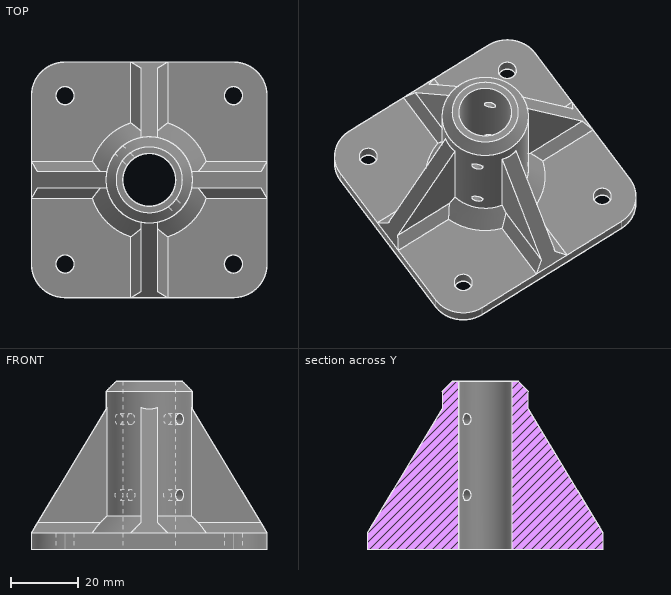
import cadquery as cq

plate_side = 70.0
plate_thickness = 5.0
corner_radius = 10.0
mount_hole_diameter = 5.3
mount_hole_spacing = 50.0

total_height = 50.0
tube_diameter = 25.6
bore_diameter = 15.6
rim_chamfer = 3.0
collar_size = 5.0

rib_width = 5.0
rib_top_height = 41.7
foot_chamfer = 3.0

pin_hole_diameter = 3.3
pin_hole_heights = (16.2, 38.7)
pin_hole_direction = (1, -1, 0)

plate_half = plate_side / 2
tube_radius = tube_diameter / 2


def make_plate():
    plate = cq.Workplane("XY").box(
        plate_side, plate_side, plate_thickness, centered=(True, True, False)
    )
    return (
        plate.edges("|Z")
        .fillet(corner_radius)
        .faces(">Z")
        .workplane()
        .rect(mount_hole_spacing, mount_hole_spacing, forConstruction=True)
        .vertices()
        .hole(mount_hole_diameter)
    )


def make_tube():
    """Solid post with a conical collar on the plate and a chamfered rim."""
    profile = [
        (0, 0),
        (tube_radius + collar_size, 0),
        (tube_radius + collar_size, plate_thickness),
        (tube_radius, plate_thickness + collar_size),
        (tube_radius, total_height - rim_chamfer),
        (tube_radius - rim_chamfer, total_height),
        (0, total_height),
    ]
    return cq.Workplane("XZ").polyline(profile).close().revolve(360, (0, 0), (0, 1))


def make_rib_pair():
    """Two opposite ribs along X: a flared cross-section trimmed to the sloping outline."""
    half_width = rib_width / 2
    foot_half_width = half_width + foot_chamfer
    buried_height = total_height - rim_chamfer
    slope_run_per_rise = (plate_half - tube_radius) / (rib_top_height - plate_thickness)
    buried_reach = plate_half - (buried_height - plate_thickness) * slope_run_per_rise
    section = [
        (-foot_half_width, plate_thickness),
        (foot_half_width, plate_thickness),
        (half_width, plate_thickness + foot_chamfer),
        (half_width, buried_height),
        (-half_width, buried_height),
        (-half_width, plate_thickness + foot_chamfer),
    ]
    outline = [
        (-plate_half, plate_thickness),
        (plate_half, plate_thickness),
        (buried_reach, buried_height),
        (-buried_reach, buried_height),
    ]
    bar = cq.Workplane("YZ").polyline(section).close().extrude(plate_half, both=True)
    slopes = cq.Workplane("XZ").polyline(outline).close().extrude(foot_half_width, both=True)
    return bar.intersect(slopes)


def make_pin_hole(height):
    """Cutter crossing both tube walls on a diagonal between the ribs."""
    plane = cq.Plane(origin=(0, 0, height), xDir=(0, 0, 1), normal=pin_hole_direction)
    return cq.Workplane(plane).circle(pin_hole_diameter / 2).extrude(tube_diameter, both=True)


result = make_plate().union(make_tube())
for angle in (0, 90):
    result = result.union(make_rib_pair().rotate((0, 0, 0), (0, 0, 1), angle))

bore = cq.Workplane("XY").circle(bore_diameter / 2).extrude(total_height)
result = result.cut(bore)
for pin_height in pin_hole_heights:
    result = result.cut(make_pin_hole(pin_height))